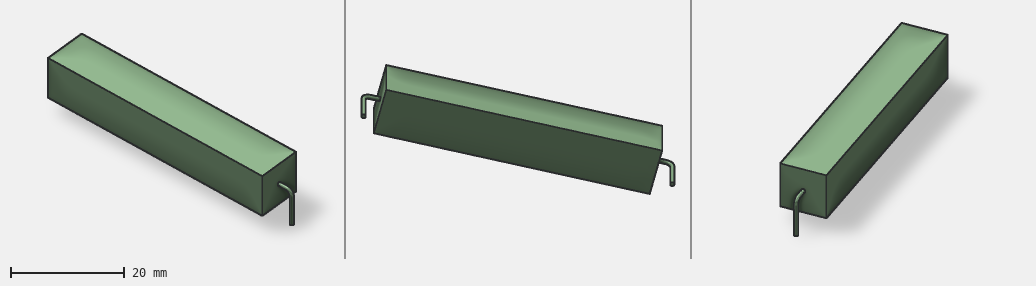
import cadquery as cq

overall_length = 56.7
overall_height = 12.0

body_length = 50.0
body_side = 9.0

lead_diameter = 0.8
bend_radius = 1.2

body_end = body_length / 2
lead_x = (overall_length - lead_diameter) / 2
lead_tip_z = body_side / 2 - overall_height


def make_lead(side):
    """Round wire leaving one body end (side is -1 or +1), then bending straight down."""
    drop_x = side * lead_x
    bend_start_x = side * (lead_x - bend_radius)
    centreline = (
        cq.Workplane("XZ")
        .moveTo(side * body_end, 0)
        .lineTo(bend_start_x, 0)
        .tangentArcPoint((drop_x, -bend_radius), relative=False)
        .lineTo(drop_x, lead_tip_z)
    )
    section = cq.Workplane("YZ", origin=(side * body_end, 0, 0)).circle(lead_diameter / 2)
    return section.sweep(centreline)


result = cq.Workplane("XY").box(body_length, body_side, body_side)
for end_side in (-1, 1):
    result = result.union(make_lead(end_side))